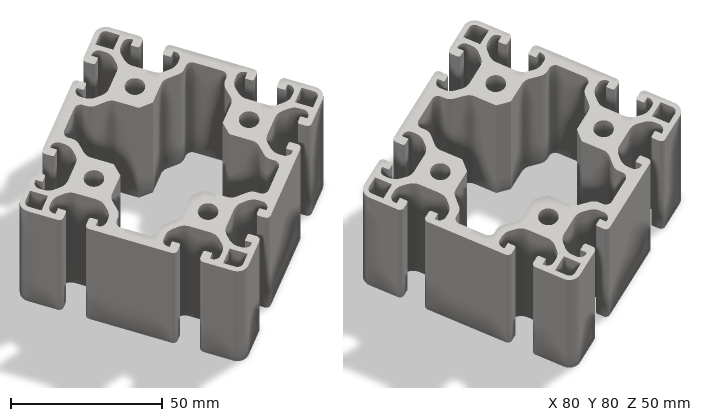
import cadquery as cq
import math

SIDE = 80.0
LENGTH = 50.0
HALF_SIDE = SIDE / 2
CORNER_RADIUS = 4.0

CORE_OFFSET = 20.0
BORE_DIAMETER = 6.8
CORE_HALF_WIDTH = 7.8
CORE_CHAMFER = 3.6

SLOT_MOUTH_HALF = 4.0
SLOT_HALF_WIDTH = 10.0
SLOT_DEPTH = 12.2
SLOT_FLOOR_HALF = 5.7
SLOT_FLANK_RADIUS = 5.0

LIP_DEPTH = 4.6
LIP_OUTER_RADIUS = 1.5
LIP_INNER_RADIUS = 0.7
HOOK_HALF_WIDTH = 7.0
HOOK_DEPTH = 2.1
HOOK_RADIUS = 2.4

WALL = 4.2
WEB = 2.9
FLANK_WALL = 3.0
CAVITY_CORNER_RADIUS = 2.2
CAVITY_FLANK_RADIUS = 4.0

CELL_INSET = 1.8
CELL_SIZE = 6.3
CELL_RADIUS = 2.0

SLOT_FLANK_SUM = SLOT_FLOOR_HALF + SLOT_DEPTH


def prism(points):
    """Extrude a closed polygon over the full length."""
    return cq.Workplane("XY").polyline(points).close().extrude(LENGTH)


def fillet_at(solid, points, radius):
    """Round the lengthwise edges that stand at the given points."""
    tolerance = 0.01
    chosen = []
    for edge in solid.edges("|Z").vals():
        middle = edge.Center()
        if any(math.dist((middle.x, middle.y), point) < tolerance for point in points):
            chosen.append(edge)
    return solid.newObject(chosen).fillet(radius)


def mirrored(points):
    """Complete the x > 0 half of an outline with its mirror image."""
    return points + [(-x, y) for x, y in reversed(points)]


def quarter_turns(solid):
    """Four copies of a solid, a quarter turn apart around the Z axis."""
    return [solid.rotate((0, 0, 0), (0, 0, 1), 90 * turn) for turn in range(4)]


def make_slot():
    """Cutter for a T-slot centred on x = 0 that opens through the +Y side."""
    lip_y = HALF_SIDE - LIP_DEPTH
    hook_y = HALF_SIDE - HOOK_DEPTH
    mouth = (SLOT_MOUTH_HALF, HALF_SIDE)
    lip = (SLOT_MOUTH_HALF, lip_y)
    hook_corner = (SLOT_HALF_WIDTH, hook_y)
    flank_outer = (SLOT_HALF_WIDTH, HALF_SIDE - SLOT_FLANK_SUM + SLOT_HALF_WIDTH)
    flank_inner = (SLOT_FLOOR_HALF, HALF_SIDE - SLOT_DEPTH)
    slot = prism(mirrored([
        mouth,
        lip,
        (HOOK_HALF_WIDTH, lip_y),
        (HOOK_HALF_WIDTH, hook_y),
        hook_corner,
        flank_outer,
        flank_inner,
    ]))
    slot = fillet_at(slot, mirrored([lip]), LIP_INNER_RADIUS)
    slot = fillet_at(slot, mirrored([hook_corner]), HOOK_RADIUS)
    return fillet_at(slot, mirrored([flank_outer, flank_inner]), SLOT_FLANK_RADIUS)


def make_cavity_arm():
    """Cutter for the +Y arm of the central cavity, reaching in to the middle."""
    arm_half = CORE_OFFSET - SLOT_HALF_WIDTH - WEB
    core_edge = CORE_OFFSET - CORE_HALF_WIDTH
    flank_sum = HALF_SIDE + CORE_OFFSET - SLOT_FLANK_SUM - FLANK_WALL * math.sqrt(2)
    end_corner = (arm_half, HALF_SIDE - WALL)
    flank_outer = (arm_half, flank_sum - arm_half)
    flank_inner = (core_edge, flank_sum - core_edge)
    chamfer_outer = (core_edge, core_edge + CORE_CHAMFER)
    chamfer_middle = (core_edge + CORE_CHAMFER / 2, core_edge + CORE_CHAMFER / 2)

    half_outline = [chamfer_middle, chamfer_outer, flank_inner, flank_outer, end_corner]
    arm = prism([(0, 0)] + mirrored(half_outline))
    arm = fillet_at(arm, mirrored([end_corner]), CAVITY_CORNER_RADIUS)
    return fillet_at(arm, mirrored([flank_outer, flank_inner]), CAVITY_FLANK_RADIUS)


def make_corner_cell():
    """Cutter for the hollow cell in the +X +Y corner."""
    near = HALF_SIDE - CELL_INSET - CELL_SIZE
    far = HALF_SIDE - CELL_INSET
    cell = prism([(near, near), (far, near), (far, far), (near, far)])
    return fillet_at(cell, [(far, far)], CELL_RADIUS)


def make_bore():
    """Cutter for the bore through the +X +Y core."""
    return (
        cq.Workplane("XY")
        .center(CORE_OFFSET, CORE_OFFSET)
        .circle(BORE_DIAMETER / 2)
        .extrude(LENGTH)
    )


def mouth_corners():
    """Corner points where the slot mouths meet the outer sides."""
    across = [
        core + edge
        for core in (-CORE_OFFSET, CORE_OFFSET)
        for edge in (-SLOT_MOUTH_HALF, SLOT_MOUTH_HALF)
    ]
    points = []
    for side in (-HALF_SIDE, HALF_SIDE):
        points += [(offset, side) for offset in across]
        points += [(side, offset) for offset in across]
    return points


slot = make_slot()
cutters = [
    slot.translate((-CORE_OFFSET, 0, 0)),
    slot.translate((CORE_OFFSET, 0, 0)),
    make_cavity_arm(),
    make_corner_cell(),
    make_bore(),
]

body = cq.Workplane("XY").rect(SIDE, SIDE).extrude(LENGTH)
body = body.edges("|Z").fillet(CORNER_RADIUS)
for cutter in cutters:
    for copy in quarter_turns(cutter):
        body = body.cut(copy)

result = fillet_at(body, mouth_corners(), LIP_OUTER_RADIUS)